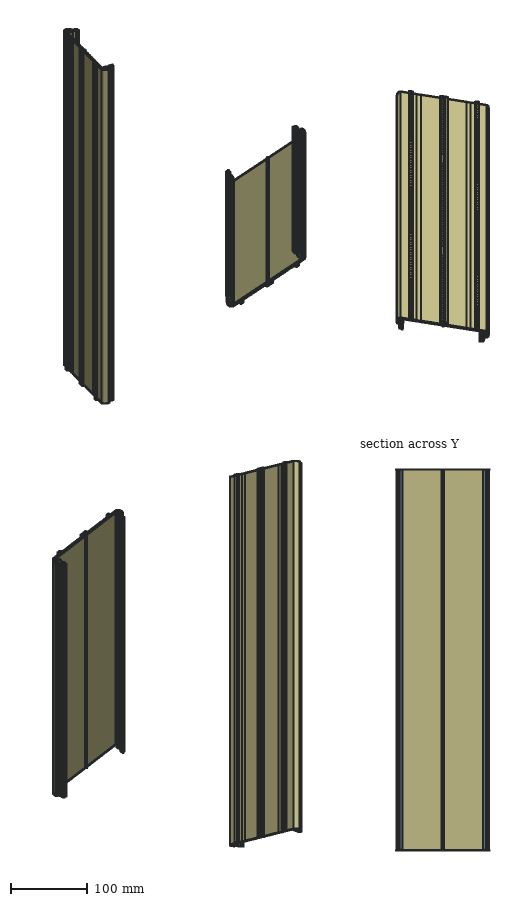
import cadquery as cq

LENGTH = 500.0
HALF_WIDTH = 122.6 / 2
HALF_DEPTH = 21.5 / 2

RAIL_HEIGHT = 3.0
WEB_THICKNESS = 2.2
WEB_BACK = -HALF_DEPTH + RAIL_HEIGHT
WEB_FRONT = WEB_BACK + WEB_THICKNESS

FLANGE_THICKNESS = 1.55
FLANGE_TOP = -HALF_DEPTH + FLANGE_THICKNESS
STEP_WIDTH = 0.8
STEP_HEIGHT = 1.0

SIDE_RAIL_INNER = 41.6
SIDE_RAIL_OUTER = 46.74
SIDE_STEM_OUTER = 44.1
CENTRE_RAIL_HALF_WIDTH = 5.3
CENTRE_STEM_HALF_WIDTH = 1.7

RELIEF_INNER = 30.5
RELIEF_OUTER = 36.1
RELIEF_DEPTH = 0.2

GROOVE_HALF_WIDTH = 0.8
GROOVE_DEPTH = 4.0
RIDGE_HALF_WIDTH = 1.7
RIDGE_TOP_HALF_WIDTH = 0.3
RIDGE_HEIGHT = 1.3

CORNER_START = 57.55
CORNER_MID_X = 59.06
CORNER_MID_Y = -6.9
CORNER_END_X = 60.48
CORNER_END_Y = -5.29
FLANK_BEND_X = 61.25
FLANK_BEND_Y = -2.85
FLANK_TOP = -1.4
LIP_TOP = 2.4
LIP_SHOULDER = 0.3
LIP_TOP_OUTER = HALF_WIDTH - 1.2
LIP_INNER = 58.1
BASE_FRONT = -4.7

KEYHOLE_DIAMETER = 3.0
KEYHOLE_X = 57.5
KEYHOLE_Y = BASE_FRONT + KEYHOLE_DIAMETER / 2

TONGUE_OUTER = 56.9
TONGUE_INNER = 53.9
HOOK_INNER = 51.6
TIP_OUTER = 55.5
TIP_OUTER_TOP = 10.2
BARB = 56.8
BARB_TOP = 7.9
BARB_VALLEY_X = 56.0
BARB_VALLEY_Y = 6.2
LOWER_BARB_TOP = 4.6
LOWER_BARB_BASE = 3.3
NECK_OUTER = 55.7
HOOK_BOTTOM = 6.4
NECK_TOP = 3.2
BEAD_TOP = 2.3
BEAD_BOTTOM = -2.1
BEAD_INNER = 52.6

NOTCH_OUTER = 54.1
NOTCH_INNER = 52.6
NOTCH_BOTTOM = 7.5


def extrude(sketch):
    """Close the outline and extend it over the full length."""
    return sketch.close().extrude(LENGTH)


def plane():
    """Workplane on the lower end of the panel."""
    return cq.Workplane("XY").workplane(offset=-LENGTH / 2)


def block(x_min, x_max, y_min, y_max):
    """Full-length rectangular bar between the given limits."""
    corners = [(x_min, y_min), (x_max, y_min), (x_max, y_max), (x_min, y_max)]
    return extrude(plane().polyline(corners))


def side_rail():
    """L-shaped rail on the +X half, its flange pointing outwards."""
    outline = [
        (SIDE_RAIL_INNER, WEB_FRONT),
        (SIDE_RAIL_INNER, -HALF_DEPTH + STEP_HEIGHT),
        (SIDE_RAIL_INNER + STEP_WIDTH, -HALF_DEPTH + STEP_HEIGHT),
        (SIDE_RAIL_INNER + STEP_WIDTH, -HALF_DEPTH),
        (SIDE_RAIL_OUTER, -HALF_DEPTH),
        (SIDE_RAIL_OUTER, FLANGE_TOP),
        (SIDE_STEM_OUTER, FLANGE_TOP),
        (SIDE_STEM_OUTER, WEB_FRONT),
    ]
    return extrude(plane().polyline(outline))


def centre_rail():
    """T-shaped rail with a stepped edge on both sides of the flange."""
    half = [
        (CENTRE_STEM_HALF_WIDTH, WEB_FRONT),
        (CENTRE_STEM_HALF_WIDTH, FLANGE_TOP),
        (CENTRE_RAIL_HALF_WIDTH, FLANGE_TOP),
        (CENTRE_RAIL_HALF_WIDTH, -HALF_DEPTH + STEP_HEIGHT),
        (CENTRE_RAIL_HALF_WIDTH - STEP_WIDTH, -HALF_DEPTH + STEP_HEIGHT),
        (CENTRE_RAIL_HALF_WIDTH - STEP_WIDTH, -HALF_DEPTH),
    ]
    other_half = [(-x, y) for x, y in reversed(half)]
    return extrude(plane().polyline(half + other_half))


def edge_section():
    """Rounded base corner, outer lip and barbed tongue on the +X edge."""
    outline = (
        plane()
        .moveTo(TONGUE_INNER, WEB_BACK)
        .lineTo(CORNER_START, WEB_BACK)
        .threePointArc((CORNER_MID_X, CORNER_MID_Y), (CORNER_END_X, CORNER_END_Y))
        .lineTo(FLANK_BEND_X, FLANK_BEND_Y)
        .lineTo(HALF_WIDTH, FLANK_TOP)
        .lineTo(HALF_WIDTH, LIP_SHOULDER)
        .lineTo(LIP_TOP_OUTER, LIP_TOP)
        .lineTo(LIP_INNER, LIP_TOP)
        .lineTo(LIP_INNER, KEYHOLE_Y)
        .lineTo(TONGUE_OUTER, KEYHOLE_Y)
        .lineTo(TONGUE_OUTER, BEAD_TOP)
        .lineTo(NECK_OUTER, LOWER_BARB_BASE)
        .lineTo(TONGUE_OUTER, LOWER_BARB_TOP)
        .lineTo(BARB_VALLEY_X, BARB_VALLEY_Y)
        .lineTo(BARB, BARB_TOP)
        .lineTo(TIP_OUTER, TIP_OUTER_TOP)
        .lineTo(NOTCH_OUTER, TIP_OUTER_TOP)
        .lineTo(NOTCH_OUTER, NOTCH_BOTTOM)
        .lineTo(NOTCH_INNER, NOTCH_BOTTOM)
        .lineTo(NOTCH_INNER, HALF_DEPTH)
        .lineTo(HOOK_INNER, HALF_DEPTH)
        .lineTo(HOOK_INNER, HOOK_BOTTOM)
        .lineTo(TONGUE_INNER, NECK_TOP)
        .lineTo(TONGUE_INNER, BEAD_TOP)
        .lineTo(BEAD_INNER, BEAD_TOP)
        .lineTo(BEAD_INNER, BEAD_BOTTOM)
        .lineTo(TONGUE_INNER, BEAD_BOTTOM)
    )
    keyhole = plane().center(KEYHOLE_X, KEYHOLE_Y).circle(KEYHOLE_DIAMETER / 2).extrude(LENGTH)
    return extrude(outline).cut(keyhole)


def centre_ridge():
    """Tapered ridge along the middle of the front of the web."""
    outline = [
        (-RIDGE_HALF_WIDTH, WEB_FRONT),
        (RIDGE_HALF_WIDTH, WEB_FRONT),
        (RIDGE_TOP_HALF_WIDTH, WEB_FRONT + RIDGE_HEIGHT),
        (-RIDGE_TOP_HALF_WIDTH, WEB_FRONT + RIDGE_HEIGHT),
    ]
    return extrude(plane().polyline(outline))


def centre_groove():
    """V-groove along the middle of the centre rail."""
    outline = [
        (-GROOVE_HALF_WIDTH, -HALF_DEPTH),
        (GROOVE_HALF_WIDTH, -HALF_DEPTH),
        (0, -HALF_DEPTH + GROOVE_DEPTH),
    ]
    return extrude(plane().polyline(outline))


web = block(-CORNER_START, CORNER_START, WEB_BACK, WEB_FRONT)
side = edge_section().union(side_rail())
relief = block(RELIEF_INNER, RELIEF_OUTER, WEB_BACK, WEB_BACK + RELIEF_DEPTH)

result = web.union(centre_rail()).union(centre_ridge())
result = result.union(side).union(side.mirror("YZ"))
result = result.cut(relief).cut(relief.mirror("YZ")).cut(centre_groove())